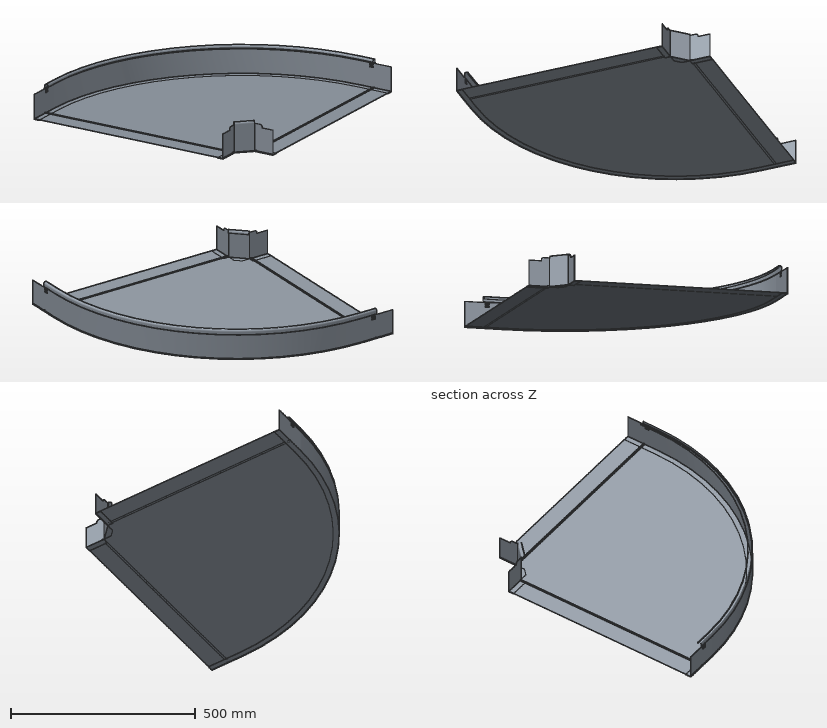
import cadquery as cq
import math

SPAN = 701.0
HEIGHT = 88.0
SHEET = 1.55
FLANGE = 17.0

STRIP_HEIGHT = 72.0
STRIP_LENGTH = 51.0
STRAIGHT = 102.0
RIM_RADIUS = 6.0
RIM_LIP = 2.0
LEDGE_HEIGHT = 2.0
RIM_INSET = 1.05

CORNER_END = 98.0
CORNER_SIDE = 58.0
TONGUE_START = 35.0
TONGUE_CHAMFER = 4.0

BEAD_WIDTH = 6.0
BEAD_RISE = 1.75

SLOT_START = 57.5
SLOT_LENGTH = 11.0
SLOT_HEIGHT = 3.0
SLOT_BOTTOMS = (59.5, 66.5)

BEND_RADIUS = SPAN - STRAIGHT
RIM_BOTTOM = HEIGHT - RIM_RADIUS
FLOOR_TOP = 2 * SHEET
CORNER_X = SPAN - CORNER_END
CHAMFER_X = SPAN - CORNER_SIDE
CHAMFER_LENGTH = (CHAMFER_X - CORNER_X) * math.sqrt(2)
MITRE = math.tan(math.pi / 8)


def mirror_diagonal(body):
    """Mirror a body in the part's symmetry plane, which swaps the two ends of the bend."""
    return body.mirror(cq.Vector(1, 1, 0), (SPAN / 2, SPAN / 2, 0))


def bend_middle(inset):
    """Middle of the quarter arc that lies inset from the outer side."""
    reach = (BEND_RADIUS - inset) * math.sqrt(0.5)
    return (BEND_RADIUS - reach, STRAIGHT + reach)


def outer_path(inset, end):
    """Path along the outer side, moved in by inset and ending that far from both ends."""
    return (
        cq.Workplane("XY")
        .moveTo(inset, end)
        .lineTo(inset, STRAIGHT)
        .threePointArc(bend_middle(inset), (BEND_RADIUS, SPAN - inset))
        .lineTo(SPAN - end, SPAN - inset)
    )


def outer_band(inset, width, end, bottom, top):
    """Upright band of the given width that follows the outer side."""
    inner = inset + width
    return (
        outer_path(inset, end)
        .lineTo(SPAN - end, SPAN - inner)
        .lineTo(BEND_RADIUS, SPAN - inner)
        .threePointArc(bend_middle(inner), (inner, STRAIGHT))
        .lineTo(inner, end)
        .close()
        .extrude(top - bottom)
        .translate((0, 0, bottom))
    )


def rim_section(plane, start):
    """Half-round rim section with a lip on its far side, from start towards the plane's local x."""
    centre = start + RIM_RADIUS
    end = start + 2 * RIM_RADIUS
    return (
        cq.Workplane(plane)
        .moveTo(start, RIM_BOTTOM)
        .threePointArc((centre, HEIGHT), (end, RIM_BOTTOM))
        .lineTo(end, RIM_BOTTOM - RIM_LIP)
        .lineTo(end - SHEET, RIM_BOTTOM - RIM_LIP)
        .lineTo(end - SHEET, RIM_BOTTOM)
        .threePointArc((centre, HEIGHT - SHEET), (start + SHEET, RIM_BOTTOM))
        .close()
    )


def wall_slots():
    """Cutters for the slots near the -Y end of the outer wall."""
    return [
        cq.Workplane("XY")
        .box(SHEET, SLOT_LENGTH, SLOT_HEIGHT, centered=False)
        .translate((0, SLOT_START, bottom))
        for bottom in SLOT_BOTTOMS
    ]


def outer_wall():
    """Curved wall with a bottom flange, a set-in upper part and a rolled rim."""
    wall = outer_band(0, SHEET, 0, 0, STRIP_HEIGHT)
    flange = outer_band(0, FLANGE, 0, 0, SHEET)
    ledge = outer_band(0, RIM_INSET + SHEET, STRIP_LENGTH, STRIP_HEIGHT, STRIP_HEIGHT + LEDGE_HEIGHT)
    upper = outer_band(RIM_INSET, SHEET, STRIP_LENGTH, STRIP_HEIGHT, RIM_BOTTOM)
    section_plane = cq.Plane(origin=(0, STRIP_LENGTH, 0), xDir=(1, 0, 0), normal=(0, -1, 0))
    rim = rim_section(section_plane, RIM_INSET).sweep(outer_path(RIM_INSET, STRIP_LENGTH))
    wall = wall.union(flange).union(ledge).union(upper).union(rim)
    for slot in wall_slots():
        wall = wall.cut(slot).cut(mirror_diagonal(slot))
    return wall


def corner_path(inset, end):
    """Path along the cut-out corner, moved into the tray by inset."""
    shift = inset * MITRE
    return [
        (CORNER_X - inset, end),
        (CORNER_X - inset, CORNER_SIDE + shift),
        (CHAMFER_X - shift, CORNER_END + inset),
        (SPAN - end, CORNER_END + inset),
    ]


def corner_band(end, top):
    """Upright sheet that follows the cut-out corner."""
    outline = corner_path(0, end) + corner_path(SHEET, end)[::-1]
    return cq.Workplane("XY").polyline(outline).close().extrude(top)


def corner_wall():
    """Wall around the cut-out corner, with flanges, raised middle and a rim on its chamfer."""
    raised = corner_band(TONGUE_START, RIM_BOTTOM)
    raised = raised.faces("<Y").edges(">Z").chamfer(TONGUE_CHAMFER)
    raised = raised.faces(">X").edges(">Z").chamfer(TONGUE_CHAMFER)

    side_flange = (
        cq.Workplane("XY")
        .box(FLANGE, CORNER_SIDE, SHEET, centered=False)
        .translate((CORNER_X - FLANGE, 0, 0))
    )
    chamfer_start = (CORNER_X, CORNER_SIDE, 0)
    chamfer_plane = cq.Plane(origin=chamfer_start, xDir=(1, 1, 0), normal=(0, 0, 1))
    chamfer_flange = (
        cq.Workplane(chamfer_plane)
        .polyline([(0, 0), (CHAMFER_LENGTH, 0), (CHAMFER_LENGTH - FLANGE, FLANGE), (FLANGE, FLANGE)])
        .close()
        .extrude(SHEET)
    )
    section_plane = cq.Plane(origin=chamfer_start, xDir=(-1, 1, 0), normal=(1, 1, 0))
    rim = rim_section(section_plane, 0).extrude(CHAMFER_LENGTH)
    return (
        corner_band(0, STRIP_HEIGHT)
        .union(raised)
        .union(side_flange)
        .union(mirror_diagonal(side_flange))
        .union(chamfer_flange)
        .union(rim)
    )


def floor_bead():
    """Flat-topped bead across the floor beside the -Y end strip."""
    start = STRIP_LENGTH
    end = STRIP_LENGTH + BEAD_WIDTH
    return (
        cq.Workplane("YZ", origin=(SHEET, 0, 0))
        .moveTo(start, FLOOR_TOP)
        .lineTo(start + BEAD_RISE, FLOOR_TOP + BEAD_RISE)
        .lineTo(end - BEAD_RISE, FLOOR_TOP + BEAD_RISE)
        .lineTo(end, FLOOR_TOP)
        .close()
        .extrude(CORNER_X - 2 * SHEET)
    )


def floor():
    """Flat plate between the walls, with a bead beside each end strip."""
    plate = outer_path(SHEET, 0)
    for point in corner_path(SHEET, 0)[::-1]:
        plate = plate.lineTo(*point)
    plate = plate.close().extrude(SHEET).translate((0, 0, SHEET))
    bead = floor_bead()
    return plate.union(bead).union(mirror_diagonal(bead))


result = cq.Compound.makeCompound([outer_wall().val(), corner_wall().val(), floor().val()])